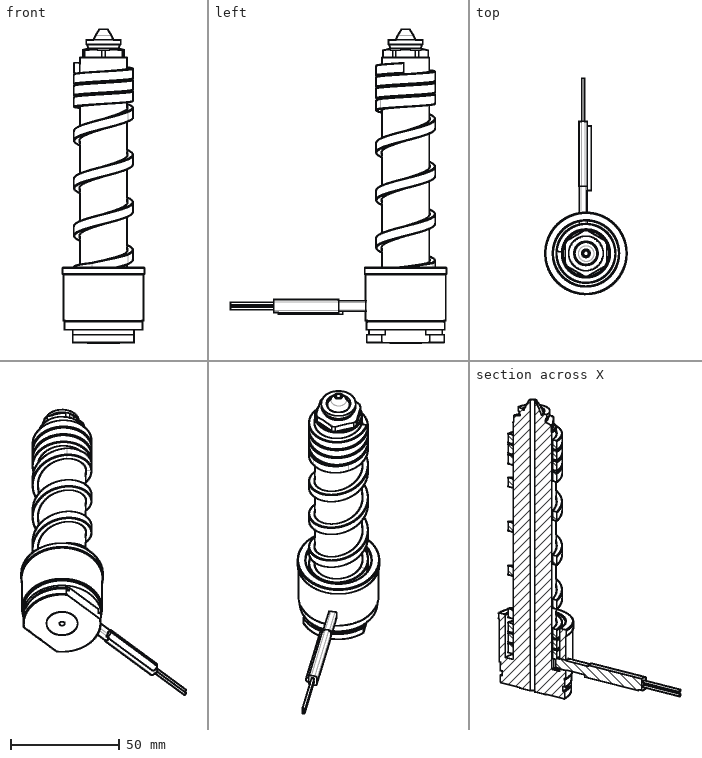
import cadquery as cq
import math


FULL_TURN = 360

SPIGOT_RADIUS = 7.2
SPIGOT_HEIGHT = 0.25
FOOT_RADIUS = 18.0
FOOT_TOP = 4.1
FOOT_CHAMFER = 0.4
NECK_RADIUS = 17.0
NECK_TOP = 6.3
RING_RADIUS = 18.1
RING_TOP = 10.0
RING_GROOVE_DEPTH = 0.4
RING_GROOVE_TOP = 10.5
BARREL_RADIUS = 18.6
BARREL_TOP = 31.8
FLANGE_RADIUS = 19.0
FLANGE_TOP = 35.15
FLANGE_CHAMFER = 0.4
FOOT_FLAT_SPACING = 28.4

SHANK_RADIUS = 10.95
SHANK_TOP = 132.3
SHANK_CHAMFER = 0.4
HEX_SIDES = 6
HEX_CORNER_ANGLE = 90
HEX_ACROSS_FLATS = 19.0
HEX_CORNER_RADIUS = 10.5
HEX_TOP = 135.4
HEX_CONE_TOP = 136.3
COLLAR_NECK_RADIUS = 7.1
COLLAR_LIP_RADIUS = 7.6
COLLAR_LIP_BOTTOM = 138.0
COLLAR_RADIUS = 8.0
COLLAR_BOTTOM = 138.3
COLLAR_TOP = 140.2
TIP_GROOVE_RADIUS = 5.6
TIP_GROOVE_DEPTH = 1.0
TIP_BASE_RADIUS = 5.1
TIP_SHOULDER_RADIUS = 3.6
TIP_SHOULDER_Z = 142.5
TIP_RADIUS = 1.9
TIP_TOP = 145.2
BORE_RADIUS = 1.2

COIL_CLEARANCE = 0.05
COIL_INNER_RADIUS = SHANK_RADIUS + COIL_CLEARANCE
COIL_OUTER_RADIUS = 13.75
COIL_HEIGHT = 4.8
COIL_CORNER = 0.3
COIL_MEAN_RADIUS = (COIL_INNER_RADIUS + COIL_OUTER_RADIUS) / 2
COIL_END_Z = 127.3
COIL_END_ANGLE = 176.0
CLOSE_PITCH = 5.25
OPEN_PITCH = 22.0
PITCH_CHANGE = OPEN_PITCH - CLOSE_PITCH
MILD_PITCH = CLOSE_PITCH + PITCH_CHANGE / 4
STEEP_PITCH = OPEN_PITCH - PITCH_CHANGE / 4
UPPER_CLOSE_SWEEP = 3 * FULL_TURN + 54.0
BLEND_SWEEP = 78.5
OPEN_SWEEP = 3 * FULL_TURN
LOWER_CLOSE_SWEEP = 3 * FULL_TURN + 72.0
COIL_STRETCHES = [
    (CLOSE_PITCH, UPPER_CLOSE_SWEEP),
    (MILD_PITCH, BLEND_SWEEP),
    (STEEP_PITCH, BLEND_SWEEP),
    (OPEN_PITCH, OPEN_SWEEP),
    (STEEP_PITCH, BLEND_SWEEP),
    (MILD_PITCH, BLEND_SWEEP),
    (CLOSE_PITCH, LOWER_CLOSE_SWEEP),
]
COIL_DROP = sum(pitch * sweep / FULL_TURN for pitch, sweep in COIL_STRETCHES)

CABLE_X = -1.3
CABLE_Z = 17.3
SHEATH_START = 12.8
SHEATH_WIDTH = 3.65
SHEATH_HEIGHT = 5.0
SHEATH_CORNER = 0.8
SLEEVE_START = 31.0
SLEEVE_END = 61.0
SLEEVE_WIDTH = 3.9
SLEEVE_HEIGHT = 6.2
SLEEVE_CORNER = 1.1
WIRE_END = 81.0
WIRE_DIAMETER = 1.3
WIRE_SPACING = 2.2
ROD_DIAMETER = 3.0
ROD_X = 1.0
ROD_Z = 14.9
ROD_START = 29.0
ROD_END = 58.9

POCKET_RADIUS = 15.1
POCKET_CHAMFER = 0.4
POCKET_FLOOR = COIL_END_Z - COIL_DROP - COIL_HEIGHT / 2


def disc(radius, bottom, top):
    return cq.Workplane("XY", origin=(0, 0, bottom)).circle(radius).extrude(top - bottom)


def y_plane(x, y, z):
    """Plane across the cable: local x is -X, local y is Z, and extrusion goes along +Y."""
    return cq.Workplane(cq.Plane(origin=(x, y, z), xDir=(-1, 0, 0), normal=(0, 1, 0)))


def cable_bar(width, height, corner_radius, start, end):
    bar = y_plane(CABLE_X, start, CABLE_Z).rect(width, height).extrude(end - start)
    return bar.edges("|Y").fillet(corner_radius)


def make_head():
    foot = disc(FOOT_RADIUS, SPIGOT_HEIGHT, FOOT_TOP).faces("<Z").edges().chamfer(FOOT_CHAMFER)
    foot = foot.union(disc(NECK_RADIUS, FOOT_TOP, NECK_TOP))
    flats = cq.Workplane("XY").rect(FOOT_FLAT_SPACING, 2 * FLANGE_RADIUS).extrude(NECK_TOP)
    head = foot.intersect(flats)
    head = head.union(disc(SPIGOT_RADIUS, 0, SPIGOT_HEIGHT))
    head = head.union(disc(RING_RADIUS, NECK_TOP, RING_TOP))
    head = head.union(disc(RING_RADIUS - RING_GROOVE_DEPTH, RING_TOP, RING_GROOVE_TOP))
    head = head.union(disc(BARREL_RADIUS, RING_GROOVE_TOP, BARREL_TOP))
    flange = disc(FLANGE_RADIUS, BARREL_TOP, FLANGE_TOP).edges().chamfer(FLANGE_CHAMFER)
    head = head.union(flange)
    head = head.cut(disc(POCKET_RADIUS, POCKET_FLOOR, FLANGE_TOP))
    pocket_rim = cq.Solid.makeCone(
        POCKET_RADIUS,
        POCKET_RADIUS + POCKET_CHAMFER,
        POCKET_CHAMFER,
        pnt=cq.Vector(0, 0, FLANGE_TOP - POCKET_CHAMFER),
    )
    return head.cut(cq.Workplane(pocket_rim))


def make_hexagon():
    corner_diameter = HEX_ACROSS_FLATS / math.cos(math.pi / HEX_SIDES)
    prism = (
        cq.Workplane("XY", origin=(0, 0, SHANK_TOP))
        .transformed(rotate=(0, 0, HEX_CORNER_ANGLE))
        .polygon(HEX_SIDES, corner_diameter)
        .extrude(HEX_CONE_TOP - SHANK_TOP)
    )
    envelope = (
        cq.Workplane("XZ")
        .moveTo(0, SHANK_TOP)
        .lineTo(HEX_CORNER_RADIUS, SHANK_TOP)
        .lineTo(HEX_CORNER_RADIUS, HEX_TOP)
        .lineTo(COLLAR_NECK_RADIUS, HEX_CONE_TOP)
        .lineTo(0, HEX_CONE_TOP)
        .close()
        .revolve(FULL_TURN, (0, 0), (0, 1))
    )
    return prism.intersect(envelope)


def make_tip():
    groove_floor = COLLAR_TOP - TIP_GROOVE_DEPTH
    return (
        cq.Workplane("XZ")
        .moveTo(0, HEX_CONE_TOP)
        .lineTo(COLLAR_NECK_RADIUS, HEX_CONE_TOP)
        .lineTo(COLLAR_LIP_RADIUS, COLLAR_LIP_BOTTOM)
        .lineTo(COLLAR_RADIUS, COLLAR_BOTTOM)
        .lineTo(COLLAR_RADIUS, COLLAR_TOP)
        .lineTo(TIP_GROOVE_RADIUS, COLLAR_TOP)
        .lineTo(TIP_BASE_RADIUS, groove_floor)
        .lineTo(TIP_SHOULDER_RADIUS, TIP_SHOULDER_Z)
        .lineTo(TIP_RADIUS, TIP_TOP)
        .lineTo(0, TIP_TOP)
        .close()
        .revolve(FULL_TURN, (0, 0), (0, 1))
    )


def make_nozzle():
    shank = disc(SHANK_RADIUS, POCKET_FLOOR, SHANK_TOP).faces(">Z").edges().chamfer(SHANK_CHAMFER)
    nozzle = make_head().union(shank).union(make_hexagon()).union(make_tip())
    nozzle = nozzle.cut(disc(BORE_RADIUS, 0, TIP_TOP))
    cable_hole = cable_bar(SHEATH_WIDTH, SHEATH_HEIGHT, SHEATH_CORNER, SHEATH_START, SLEEVE_START)
    return nozzle.cut(cable_hole)


def coil_stretch(pitch, sweep, bottom_z, bottom_angle):
    """Rectangular section with bevelled corners, swept up a right-handed helix."""
    path = cq.Wire.makeHelix(pitch, pitch * sweep / FULL_TURN, COIL_MEAN_RADIUS)
    half_height = COIL_HEIGHT / 2
    flank_height = half_height - COIL_CORNER
    section = cq.Workplane("XZ").polyline(
        [
            (COIL_INNER_RADIUS, -flank_height),
            (COIL_INNER_RADIUS + COIL_CORNER, -half_height),
            (COIL_OUTER_RADIUS - COIL_CORNER, -half_height),
            (COIL_OUTER_RADIUS, -flank_height),
            (COIL_OUTER_RADIUS, flank_height),
            (COIL_OUTER_RADIUS - COIL_CORNER, half_height),
            (COIL_INNER_RADIUS + COIL_CORNER, half_height),
            (COIL_INNER_RADIUS, flank_height),
        ]
    ).close()
    stretch = section.sweep(cq.Workplane(path), isFrenet=True)
    return stretch.rotate((0, 0, 0), (0, 0, 1), bottom_angle).translate((0, 0, bottom_z))


def make_coil():
    coil = None
    z = COIL_END_Z
    angle = COIL_END_ANGLE
    for pitch, sweep in COIL_STRETCHES:
        z -= pitch * sweep / FULL_TURN
        angle -= sweep
        stretch = coil_stretch(pitch, sweep, z, angle)
        coil = stretch if coil is None else coil.union(stretch)
    return coil


def make_heater():
    heater = make_coil()
    heater = heater.union(
        cable_bar(SHEATH_WIDTH, SHEATH_HEIGHT, SHEATH_CORNER, SHEATH_START, SLEEVE_START)
    )
    heater = heater.union(
        cable_bar(SLEEVE_WIDTH, SLEEVE_HEIGHT, SLEEVE_CORNER, SLEEVE_START, SLEEVE_END)
    )
    rod = y_plane(ROD_X, ROD_START, ROD_Z).circle(ROD_DIAMETER / 2).extrude(ROD_END - ROD_START)
    heater = heater.union(rod)
    for side in (-1, 1):
        wire_z = CABLE_Z + side * WIRE_SPACING / 2
        wire = y_plane(CABLE_X, SLEEVE_END, wire_z).circle(WIRE_DIAMETER / 2)
        heater = heater.union(wire.extrude(WIRE_END - SLEEVE_END))
    return heater


nozzle = make_nozzle()
heater = make_heater()

result = cq.Compound.makeCompound([nozzle.solids().val(), heater.solids().val()])